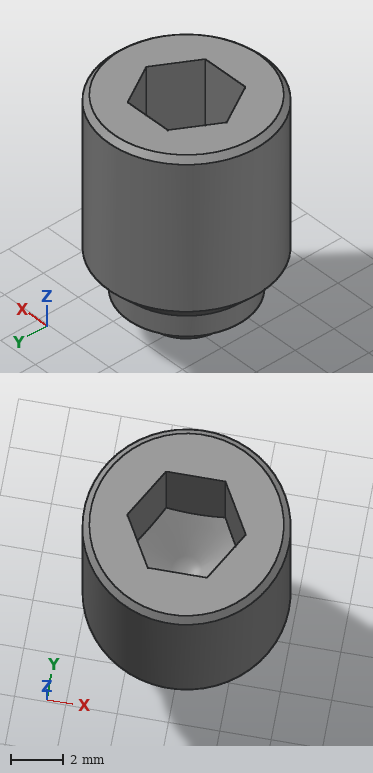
import cadquery as cq
import math

total_height = 11.2
body_diameter = 8.0
top_chamfer = 0.27
nose_diameter = 5.99
nose_height = 1.0
ball_diameter = 5.4
ball_protrusion = 1.75
hex_across_flats = 4.0
hex_depth = 4.0
drill_point_angle = 120.0

body_radius = body_diameter / 2
nose_radius = nose_diameter / 2
ball_radius = ball_diameter / 2
taper_height = body_radius - nose_radius
taper_bottom = ball_protrusion + nose_height
taper_top = taper_bottom + taper_height
hex_across_corners = hex_across_flats / math.cos(math.radians(30))
hex_corner_radius = hex_across_corners / 2
drill_point_height = hex_corner_radius / math.tan(math.radians(drill_point_angle / 2))
hex_bottom = total_height - hex_depth


def make_ball():
    """Full ball, partly exposed below the nose."""
    return cq.Workplane("XY").sphere(ball_radius).translate((0, 0, ball_radius))


def make_hex_socket():
    """Hexagonal recess whose floor is a cone reaching out to the corners."""
    prism = (
        cq.Workplane("XY")
        .workplane(offset=hex_bottom - drill_point_height)
        .polygon(6, hex_across_corners)
        .extrude(hex_depth + drill_point_height)
    )
    pointed_bore = (
        cq.Workplane("XZ")
        .moveTo(0, hex_bottom - drill_point_height)
        .lineTo(hex_corner_radius, hex_bottom)
        .lineTo(hex_corner_radius, total_height)
        .lineTo(0, total_height)
        .close()
        .revolve(360, (0, 0, 0), (0, 1, 0))
    )
    return prism.intersect(pointed_bore)


def make_housing():
    """Turned sleeve with a top chamfer, tapered shoulder, nose and sockets."""
    turned_blank = (
        cq.Workplane("XZ")
        .moveTo(0, ball_protrusion)
        .lineTo(nose_radius, ball_protrusion)
        .lineTo(nose_radius, taper_bottom)
        .lineTo(body_radius, taper_top)
        .lineTo(body_radius, total_height - top_chamfer)
        .lineTo(body_radius - top_chamfer, total_height)
        .lineTo(0, total_height)
        .close()
        .revolve(360, (0, 0, 0), (0, 1, 0))
    )
    return turned_blank.cut(make_hex_socket()).cut(make_ball())


housing = make_housing()
ball = make_ball()

result = cq.Compound.makeCompound([housing.val(), ball.val()])